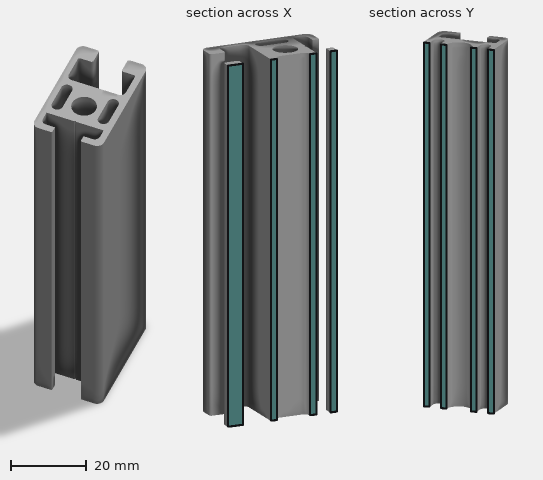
import cadquery as cq

width = 20
depth = 32
length = 100
wall = 1.8
corner_radius = 2

opening_width = 8.2
cavity_width = width - 2 * wall
cavity_radius = 1.5

back_lip = 4.5
back_floor_y = 3.4
back_lip_radius = 0.6
back_cavity_radius = 0.5

front_lip = 2
front_lip_radius = 0.3
front_floor_y = -10
notch_width = 0.6
notch_depth = 0.3

bore_diameter = 6.8
bore_y = -4
channel_width = 3.1
channel_back_y = 1.5
channel_front_y = -8

back_y = depth / 2
front_y = -depth / 2


def prism(x_min, x_max, y_min, y_max):
    """Full-length rectangular prism between the given limits."""
    size_x = x_max - x_min
    size_y = y_max - y_min
    return cq.Workplane("XY").box(size_x, size_y, length).translate(
        ((x_min + x_max) / 2, (y_min + y_max) / 2, 0)
    )


def centered_prism(size_x, y_min, y_max):
    return prism(-size_x / 2, size_x / 2, y_min, y_max)


def back_slot():
    lip_inner_y = back_y - back_lip
    cavity = centered_prism(cavity_width, back_floor_y, lip_inner_y)
    cavity = cavity.edges("|Z and <Y").fillet(cavity_radius)
    cavity = cavity.edges("|Z and >Y").fillet(back_cavity_radius)
    return cavity.union(centered_prism(opening_width, back_floor_y, back_y))


def front_slot():
    lip_inner_y = front_y + front_lip
    cavity = centered_prism(cavity_width, lip_inner_y, front_floor_y)
    cavity = cavity.edges("|Z and <Y").fillet(cavity_radius)
    return cavity.union(centered_prism(opening_width, front_y, front_floor_y))


def floor_notch():
    """Shallow V groove along the middle of the front slot floor."""
    return (
        cq.Workplane("XY", origin=(0, 0, -length / 2))
        .moveTo(-notch_width / 2, front_floor_y)
        .lineTo(0, front_floor_y + notch_depth)
        .lineTo(notch_width / 2, front_floor_y)
        .close()
        .extrude(length)
    )


def side_channel():
    """Round-ended channel next to the -X wall."""
    center_x = (channel_width - cavity_width) / 2
    center_y = (channel_back_y + channel_front_y) / 2
    return (
        cq.Workplane("XY", origin=(center_x, center_y, -length / 2))
        .slot2D(channel_back_y - channel_front_y, channel_width, 90)
        .extrude(length)
    )


def bore():
    return (
        cq.Workplane("XY", origin=(0, bore_y, -length / 2))
        .circle(bore_diameter / 2)
        .extrude(length)
    )


def round_back_lips(body):
    """Round both corners of each lip at the back slot opening."""
    lip_zone = cq.selectors.BoxSelector(
        (-opening_width / 2 - wall / 2, back_y - back_lip - wall / 2, -length),
        (opening_width / 2 + wall / 2, back_y + wall / 2, length),
    )
    return body.edges("|Z").edges(lip_zone).fillet(back_lip_radius)


def round_front_lips(body):
    """Soften the outer corner of each lip at the front slot opening."""
    lip_zone = cq.selectors.BoxSelector(
        (-opening_width / 2 - wall / 2, front_y - wall / 2, -length),
        (opening_width / 2 + wall / 2, front_y + wall / 2, length),
    )
    return body.edges("|Z").edges(lip_zone).fillet(front_lip_radius)


body = cq.Workplane("XY").box(width, depth, length)
body = body.edges("|Z").fillet(corner_radius)
body = body.cut(back_slot()).cut(front_slot()).cut(floor_notch())
body = round_back_lips(body)
body = round_front_lips(body)

channel = side_channel()
body = body.cut(channel).cut(channel.mirror("YZ"))

result = body.cut(bore()).translate((0, 0, length / 2))